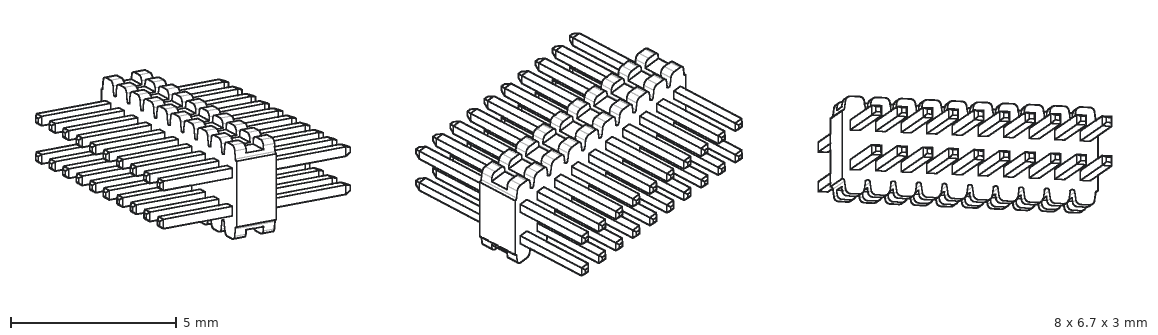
import cadquery as cq
import math

pins_per_row = 10
body_length = 8.0
body_depth = 1.4
body_height = 3.0
pitch = body_length / pins_per_row

groove_depth = 0.45
groove_floor_radius = 0.07
groove_wall_tilt = math.radians(8)
tooth_corner_radius = 0.16

channel_width = 0.61
channel_depth = 0.27

row_spacing = 1.22
pin_width = 0.3
pin_tip_width = pin_width / 2
pin_front_length = 2.5
pin_back_length = 2.8
front_taper_length = 0.08
back_taper_length = 0.2


def make_groove(x_center):
    """Cutter for one upper groove: round floor, tilted walls, rounded mouth."""
    sin_tilt = math.sin(groove_wall_tilt)
    cos_tilt = math.cos(groove_wall_tilt)
    floor_r = groove_floor_radius
    corner_r = tooth_corner_radius
    top = body_height / 2

    floor_z = top - groove_depth + floor_r
    corner_z = top - corner_r
    corner_x = (floor_r + corner_r) / cos_tilt + (corner_z - floor_z) * math.tan(groove_wall_tilt)

    mid_angle = (math.pi / 2 + groove_wall_tilt) / 2
    mid_x = corner_x - corner_r * math.cos(mid_angle)
    mid_z = corner_z + corner_r * math.sin(mid_angle)
    wall_top_x = corner_x - corner_r * cos_tilt
    wall_top_z = corner_z + corner_r * sin_tilt
    wall_foot_x = floor_r * cos_tilt
    wall_foot_z = floor_z - floor_r * sin_tilt

    return (
        cq.Workplane("XZ", origin=(x_center, 0, 0))
        .moveTo(-corner_x, top)
        .threePointArc((-mid_x, mid_z), (-wall_top_x, wall_top_z))
        .lineTo(-wall_foot_x, wall_foot_z)
        .threePointArc((0, top - groove_depth), (wall_foot_x, wall_foot_z))
        .lineTo(wall_top_x, wall_top_z)
        .threePointArc((mid_x, mid_z), (corner_x, top))
        .close()
        .extrude(body_depth, both=True)
    )


def make_body():
    """Block with toothed, channelled upper and lower faces."""
    body = cq.Workplane("XY").box(body_length, body_depth, body_height)

    for index in range(pins_per_row + 1):
        groove = make_groove(index * pitch - body_length / 2)
        body = body.cut(groove).cut(groove.mirror("XY"))

    channel_z = body_height / 2 - channel_depth / 2
    for z in (-channel_z, channel_z):
        channel = cq.Workplane("XY").box(body_length, channel_width, channel_depth)
        body = body.cut(channel.translate((0, 0, z)))
    return body


def make_tip(base_y, end_y):
    """Pyramid-shaped pin end narrowing from base_y to end_y."""
    return (
        cq.Workplane(cq.Plane((0, base_y, 0), xDir=(1, 0, 0), normal=(0, end_y - base_y, 0)))
        .rect(pin_width, pin_width)
        .workplane(offset=abs(end_y - base_y))
        .rect(pin_tip_width, pin_tip_width)
        .loft(ruled=True)
    )


def make_pin():
    """Square pin on the Y axis with a tapered tip at each end."""
    front_y = -body_depth / 2 - pin_front_length
    back_y = body_depth / 2 + pin_back_length
    shank_front_y = front_y + front_taper_length
    shank_back_y = back_y - back_taper_length
    shank = (
        cq.Workplane("XY")
        .box(pin_width, shank_back_y - shank_front_y, pin_width)
        .translate((0, (shank_front_y + shank_back_y) / 2, 0))
    )
    return shank.union(make_tip(shank_front_y, front_y)).union(make_tip(shank_back_y, back_y))


result = make_body()
pin = make_pin()
for column in range(pins_per_row):
    pin_x = (column + 0.5) * pitch - body_length / 2
    for pin_z in (-row_spacing / 2, row_spacing / 2):
        result = result.union(pin.translate((pin_x, 0, pin_z)))